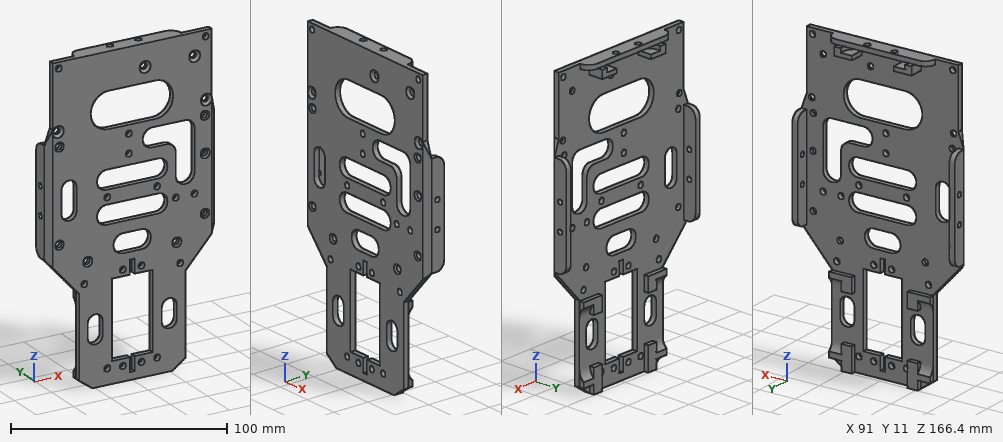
import cadquery as cq

length = 166.4
total_depth = 11.0
plate_thickness = 3.0
wing_half_width = 45.5
bend_size = 3.0
head_half_width = wing_half_width - bend_size
tail_half_width = 28.5
tail_corner_x = 21.3
tail_corner_z = 5.2
tail_top_z = 48.6
wing_bottom_z = 67.5
wing_top_z = 125.0
head_bottom_z = 133.1

side_flange_depth = 10.5
side_flange_radius = 5.0
flange_hole_diameter = 2.7
side_hole_spacing = 15.0
side_hole_y = 6.5

top_flange_center_x = -0.8
top_flange_width = 57.2
top_flange_depth = 8.5
top_flange_thickness = 2.7
top_hole_center_x = -1.0
top_hole_spacing = 15.1
top_hole_y = 5.8

block_center_x = 16.6
block_width = 10.0
block_height = 4.7
block_shelf = 3.7
block_web_height = block_height / 2

lug_depth = 5.5
lug_outer_x = 28.3
lug_rib_width = lug_outer_x - tail_corner_x
lug_pad_width = 5.7
lug_shelf = 3.2
upper_lug_bottom_z = 39.8
upper_lug_top_z = 48.1
lower_lug_top_z = 13.6

hole_diameter = 3.2
plain_holes = [
    (-39.3, 163.2), (39.3, 163.2),
    (-1.8, 123.1), (-1.8, 113.2),
    (-13.3, 93.7), (13.3, 93.7),
    (23.3, 86.0), (33.3, 86.0),
    (-5.0, 55.9), (5.0, 55.9),
    (-25.6, 53.0), (25.6, 53.0),
    (-13.3, 8.3), (13.3, 8.3),
    (-5.0, 7.8), (5.0, 7.8),
]
countersunk_holes = {
    6.0: [(6.8, 154.6), (33.3, 154.6), (-39.6, 131.6), (39.6, 131.6)],
    5.0: [(39.0, 105.0), (-23.8, 63.7), (23.8, 63.7)],
    4.7: [(-39.0, 124.0), (38.8, 124.0), (-39.0, 75.0), (38.8, 75.0)],
}

side_slot_z = 96.2
slots = [
    (-0.2, 137.1, 44.0, 19.1, 0),
    (0, 102.5, 37.6, 10.0, 0),
    (0, 85.0, 37.6, 10.0, 0),
    (0, 69.0, 20.0, 10.0, 0),
    (-33.8, side_slot_z, 20.1, 8.0, 90),
    (-19.8, 29.1, 15.0, 8.0, 90),
    (19.8, 29.1, 15.0, 8.0, 90),
]

bent_slot_left = 5.7
bent_slot_right = 33.3
bent_slot_top = 123.6
bent_slot_bottom = 91.9
bent_slot_width = 10.0
rounding_gap = 0.02
bent_slot_radius = (bent_slot_width - rounding_gap) / 2

window_width = 21.6
window_top_z = 52.6
window_bottom_z = 11.5
notch_width = 2.5
notch_top_z = 60.0
notch_bottom_z = 4.0


def box(x_range, y_range, z_range):
    """Box spanning the given (min, max) pairs."""
    sizes = [high - low for low, high in (x_range, y_range, z_range)]
    corner = (x_range[0], y_range[0], z_range[0])
    return cq.Workplane("XY").box(*sizes, centered=False).translate(corner)


def plate_sketch():
    """Workplane with local x = X, local y = Z; positive extrusion runs toward -Y."""
    return cq.Workplane("XZ")


def both_sides(solid):
    """Add the mirror image of a solid across X = 0."""
    return solid.union(solid.mirror("YZ"))


def make_plate():
    right_edge = [
        (tail_corner_x, 0),
        (tail_half_width, tail_corner_z),
        (tail_half_width, tail_top_z),
        (wing_half_width, wing_bottom_z),
        (wing_half_width, wing_top_z),
        (head_half_width, head_bottom_z),
        (head_half_width, length),
    ]
    left_edge = [(-x, z) for x, z in reversed(right_edge)]
    plate = plate_sketch().polyline(right_edge + left_edge).close().extrude(-plate_thickness)
    bevel = (
        cq.Workplane("XY")
        .polyline([(head_half_width, 0), (wing_half_width, 0), (wing_half_width, bend_size)])
        .close()
        .extrude(length)
    )
    return plate.cut(both_sides(bevel))


def make_side_flanges():
    flange = box(
        (head_half_width, wing_half_width),
        (plate_thickness, side_flange_depth),
        (wing_bottom_z, wing_top_z),
    )
    flange = flange.faces(">Y").edges("|X").fillet(side_flange_radius)
    holes = (
        cq.Workplane("YZ")
        .pushPoints([(side_hole_y, side_slot_z + s * side_hole_spacing / 2) for s in (-1, 1)])
        .circle(flange_hole_diameter / 2)
        .extrude(wing_half_width)
    )
    return both_sides(flange.cut(holes))


def make_top_flange():
    left = top_flange_center_x - top_flange_width / 2
    corner_radius = top_flange_depth - plate_thickness
    flange = box(
        (left, left + top_flange_width),
        (0, top_flange_depth),
        (length - top_flange_thickness, length),
    )
    flange = flange.faces(">Y").edges("|Z").fillet(corner_radius)
    holes = (
        cq.Workplane("XY", origin=(0, 0, length))
        .pushPoints([(top_hole_center_x + s * top_hole_spacing / 2, top_hole_y) for s in (-1, 1)])
        .circle(hole_diameter / 2)
        .extrude(-top_flange_thickness)
    )
    return flange.cut(holes)


def hollow_profile(workplane, run, shelf, height):
    """Outline rising from the plate, flat for the shelf, then a concave arc tangent to the plate.

    Local x runs along the plate away from the full-depth end, local y is depth behind the plate.
    """
    arc_run = run - shelf
    radius = (arc_run**2 + height**2) / (2 * height)
    middle_x = shelf + arc_run / 2
    middle_y = radius - (radius**2 - (arc_run / 2) ** 2) ** 0.5
    return (
        workplane.moveTo(0, 0)
        .lineTo(0, height)
        .lineTo(shelf, height)
        .threePointArc((middle_x, middle_y), (run, 0))
        .close()
    )


def make_top_blocks():
    """Blocks against the top flange: a hollowed upper layer over a full rectangular web."""
    top = length - top_flange_thickness
    outer = block_center_x + block_width / 2
    web = box(
        (outer - block_width, outer),
        (plate_thickness, total_depth),
        (top - block_height, top - block_height + block_web_height),
    )
    plane = cq.Plane(origin=(-outer, plate_thickness, top), xDir=(1, 0, 0), normal=(0, 0, 1))
    hollow = hollow_profile(
        cq.Workplane(plane), block_width, block_shelf, total_depth - plate_thickness
    ).extrude(-block_height)
    return both_sides(web.union(hollow))


def make_tail_lugs():
    """Corner lugs: a hollowed rib on the outer edge backed by a rectangular pad."""
    pad_x = (tail_corner_x - lug_pad_width, tail_corner_x)
    depth = (plate_thickness, lug_depth)
    lugs = box(pad_x, depth, (upper_lug_bottom_z, upper_lug_top_z))
    lugs = lugs.union(box(pad_x, depth, (0, lower_lug_top_z)))
    for full_end_z, thin_end_z in (
        (upper_lug_top_z, upper_lug_bottom_z),
        (tail_corner_z, lower_lug_top_z),
    ):
        direction = 1 if thin_end_z > full_end_z else -1
        plane = cq.Plane(
            origin=(lug_outer_x, plate_thickness, full_end_z),
            xDir=(0, 0, direction),
            normal=(-direction, 0, 0),
        )
        rib = hollow_profile(
            cq.Workplane(plane),
            abs(thin_end_z - full_end_z),
            lug_shelf,
            lug_depth - plate_thickness,
        ).extrude(direction * lug_rib_width)
        lugs = lugs.union(rib)
    return both_sides(lugs)


def make_round_holes():
    cutter = plate_sketch().pushPoints(plain_holes).circle(hole_diameter / 2).extrude(-plate_thickness)
    for sink_diameter, places in countersunk_holes.items():
        shaft = plate_sketch().pushPoints(places).circle(hole_diameter / 2).extrude(-plate_thickness)
        sink_depth = (sink_diameter - hole_diameter) / 2
        cutter = cutter.union(shaft)
        for x, z in places:
            cone = cq.Solid.makeCone(
                sink_diameter / 2,
                hole_diameter / 2,
                sink_depth,
                pnt=cq.Vector(x, 0, z),
                dir=cq.Vector(0, 1, 0),
            )
            cutter = cutter.union(cq.Workplane(cone))
    return cutter


def make_slots():
    cutter = cq.Workplane("XY")
    for x, z, slot_length, width, angle in slots:
        slot = plate_sketch().center(x, z).slot2D(slot_length, width, angle).extrude(-plate_thickness)
        cutter = cutter.union(slot)
    return cutter


def make_bent_slot():
    upper_run = box(
        (bent_slot_left, bent_slot_right),
        (0, plate_thickness),
        (bent_slot_top - bent_slot_width, bent_slot_top),
    )
    lower_run = box(
        (bent_slot_right - bent_slot_width, bent_slot_right),
        (0, plate_thickness),
        (bent_slot_bottom, bent_slot_top),
    )
    return upper_run.union(lower_run).clean().edges("|Y").fillet(bent_slot_radius)


def make_window():
    opening = box(
        (-window_width / 2, window_width / 2),
        (0, plate_thickness),
        (window_bottom_z, window_top_z),
    )
    notches = box(
        (-notch_width / 2, notch_width / 2),
        (0, plate_thickness),
        (notch_bottom_z, notch_top_z),
    )
    return opening.union(notches)


result = (
    make_plate()
    .union(make_side_flanges())
    .union(make_top_flange())
    .union(make_top_blocks())
    .union(make_tail_lugs())
    .cut(make_round_holes())
    .cut(make_slots())
    .cut(make_bent_slot())
    .cut(make_window())
)